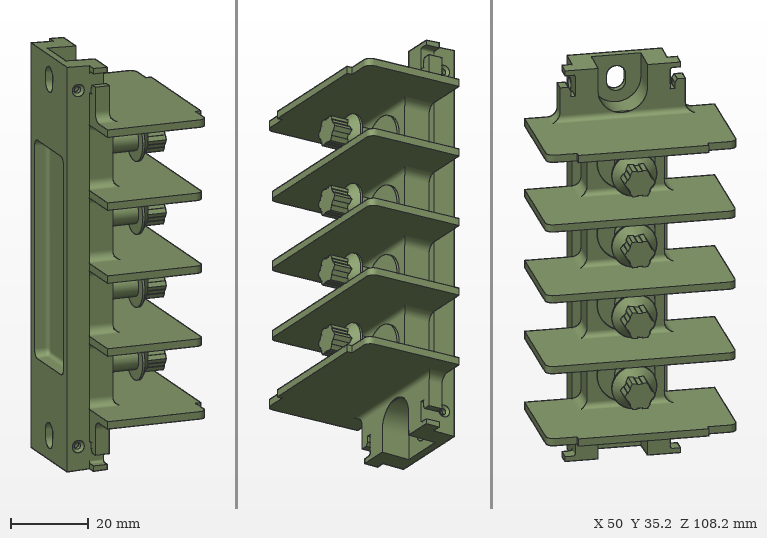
import cadquery as cq
import math

bar_width = 25.0
bar_depth = 6.2
bar_length = 108.2
end_draft = 2.0

plate_count = 5
plate_pitch = 19.5
plate_thickness = 2.0
plate_width = 50.0
plate_corner_radius = 2.0
inner_plate_back = 32.8
end_plate_shoulder = 33.7
end_plate_back = 35.2
end_plate_nose_width = 34.4
end_plate_z = plate_pitch * (plate_count - 1) / 2
end_plate_outer_z = end_plate_z + plate_thickness / 2

body_side_fillet = 2.3
body_width = bar_width - 2 * body_side_fillet
body_back = 13.6
back_fillet = 1.5

pad_diameter = 15.2
pad_back = 14.3
shank_diameter = 6.2
flange_diameter = 11.8
flange_front = 23.6
flange_rim = 0.6
head_across_flats = 7.0
head_front = 26.1
head_back = 30.9
head_sides = 6
head_groove_depth = 0.2

block_back = 10.1
hook_width = 33.0
hook_side_fillet = 2.5
hook_top_z = 49.2
hook_gap_width = 27.4
hook_gap_floor_z = 46.6
hook_tip_width = 28.7
hook_bevel_height = 1.0
tab_width = 30.4
tab_thickness = 1.7
tab_root_fillet = 0.65

mount_z = 47.6
slot_width = 5.0
slot_length = 6.8
channel_width = 13.0
channel_floor = 2.1
side_hole_diameter = 3.3
side_hole_bore_diameter = 1.7
side_hole_cone_depth = 0.6
side_hole_depth = 2.0
side_hole_y = 3.1

pocket_width = 20.0
pocket_length = 58.4
pocket_depth = 3.9
pocket_corner_radius = 2.0
pocket_draft = 4.0
pocket_floor_fillet = 1.1

reach = 0.1


def block(width, front, back, bottom, top):
    """Box centred on X = 0 that spans front..back in Y and bottom..top in Z."""
    size = (width, back - front, top - bottom)
    middle = (0, (front + back) / 2, (bottom + top) / 2)
    return cq.Workplane("XY").box(*size).translate(middle)


def both_ends(shape):
    """The shape at the +Z end joined with its mirror image at the -Z end."""
    return shape.union(shape.mirror("XY"))


def plate_blank(back, z):
    """Plate centred on the given Z, with its two rear corners rounded."""
    blank = block(plate_width, bar_depth, back, z - plate_thickness / 2, z + plate_thickness / 2)
    return blank.edges("|Z and >Y").fillet(plate_corner_radius)


def make_plates():
    inner_count = plate_count - 2
    plates = block(end_plate_nose_width, bar_depth, end_plate_back,
                   end_plate_z - plate_thickness / 2, end_plate_outer_z)
    plates = both_ends(plates.union(plate_blank(end_plate_shoulder, end_plate_z)))
    for index in range(inner_count):
        z = (index - (inner_count - 1) / 2) * plate_pitch
        plates = plates.union(plate_blank(inner_plate_back, z))
    return plates


def fillet_foot(solid, width, front, back, face_z, side_fillet):
    """Round the inside corners where a block of the given width stands on a plate face."""
    for side in (-1, 1):
        x = side * width / 2
        corner = cq.selectors.BoxSelector(
            (x - reach, front - reach, face_z - reach), (x + reach, back + reach, face_z + reach))
        solid = solid.edges("|Y").edges(corner).fillet(side_fillet)
    corner = cq.selectors.BoxSelector(
        (-width, back - reach, face_z - reach), (width, back + reach, face_z + reach))
    return solid.edges("|X").edges(corner).fillet(back_fillet)


def add_terminal_body(part):
    part = part.union(block(body_width, bar_depth, body_back, -end_plate_z, end_plate_z))
    for index in range(plate_count - 1):
        lower_face = index * plate_pitch - end_plate_z + plate_thickness / 2
        upper_face = lower_face + plate_pitch - plate_thickness
        for face_z in (lower_face, upper_face):
            part = fillet_foot(part, body_width, bar_depth, body_back, face_z, body_side_fillet)
    return part


def add_hook_blocks(part):
    hook_block = block(hook_width, bar_depth, block_back, end_plate_z, hook_top_z)
    part = part.union(both_ends(hook_block))
    for face_z in (-end_plate_outer_z, end_plate_outer_z):
        part = fillet_foot(part, hook_width, bar_depth, block_back, face_z, hook_side_fillet)
    gap = (
        cq.Workplane("XZ")
        .moveTo(-hook_gap_width / 2, hook_gap_floor_z)
        .lineTo(hook_gap_width / 2, hook_gap_floor_z)
        .lineTo(hook_gap_width / 2, hook_top_z - hook_bevel_height)
        .lineTo(hook_tip_width / 2, hook_top_z)
        .lineTo(-hook_tip_width / 2, hook_top_z)
        .lineTo(-hook_gap_width / 2, hook_top_z - hook_bevel_height)
        .close()
        .extrude(-block_back)
    )
    return part.cut(both_ends(gap))


def make_bar():
    half_length = bar_length / 2
    tab_underside_z = half_length - tab_thickness
    end_setback = block_back * math.tan(math.radians(end_draft))
    bar = block(bar_width, 0, bar_depth, -half_length, half_length)
    core = block(bar_width, bar_depth, block_back, end_plate_z, half_length)
    tabs = block(tab_width, bar_depth, block_back, tab_underside_z, half_length)
    tab_roots = cq.selectors.BoxSelector(
        (-bar_width / 2 - reach, 0, tab_underside_z - reach),
        (bar_width / 2 + reach, block_back, tab_underside_z + reach))
    tabbed_core = core.union(tabs).edges("|Y").edges(tab_roots).fillet(tab_root_fillet)
    bar = bar.union(both_ends(tabbed_core))
    sloped_end = (
        cq.Workplane("YZ")
        .moveTo(0, half_length)
        .lineTo(block_back, half_length - end_setback)
        .lineTo(block_back, half_length)
        .close()
        .extrude(plate_width / 2, both=True)
    )
    return bar.cut(both_ends(sloped_end))


def make_channel():
    """Round-bottomed channel, open at the end of the bar, around a mounting slot."""
    end_z = bar_length / 2
    channel = block(channel_width, channel_floor, block_back, mount_z, end_z)
    seat = (
        cq.Workplane("XZ", origin=(0, channel_floor, mount_z))
        .circle(channel_width / 2)
        .extrude(channel_floor - block_back)
    )
    return channel.union(seat)


def make_slot():
    return (
        cq.Workplane("XZ", origin=(0, 0, mount_z))
        .slot2D(slot_length, slot_width, 90)
        .extrude(-bar_depth)
    )


def make_side_holes():
    """Blind countersunk holes on both sides of the bar."""
    mouth = cq.Vector(-bar_width / 2, side_hole_y, mount_z)
    inward = cq.Vector(1, 0, 0)
    cone = cq.Solid.makeCone(
        side_hole_diameter / 2, side_hole_bore_diameter / 2, side_hole_cone_depth, mouth, inward)
    bore = cq.Solid.makeCylinder(side_hole_bore_diameter / 2, side_hole_depth, mouth, inward)
    left = cq.Workplane(cone).union(cq.Workplane(bore))
    return left.union(left.mirror("YZ"))


def make_pocket():
    return (
        cq.Workplane("XZ")
        .sketch()
        .rect(pocket_width, pocket_length)
        .vertices()
        .fillet(pocket_corner_radius)
        .finalize()
        .extrude(-pocket_depth, taper=pocket_draft)
        .faces(">Y")
        .edges()
        .fillet(pocket_floor_fillet)
    )


def make_screw_head(z):
    """Hexagonal head with a shallow groove along the middle third of each flat."""
    corner_diameter = head_across_flats / math.cos(math.pi / head_sides)
    flat_width = corner_diameter / 2
    head_length = head_back - flange_front
    profile = cq.Workplane("XZ", origin=(0, flange_front, z))
    head = profile.polygon(head_sides, corner_diameter).extrude(-head_length)
    grooves = (
        profile
        .polarArray(head_across_flats / 2, 180 / head_sides, 360, head_sides)
        .rect(2 * head_groove_depth, flat_width / 3)
        .extrude(-head_length)
    )
    return head.cut(grooves)


def make_screw(z):
    """Flanged screw standing on a round terminal pad."""
    rim_back = flange_front + flange_rim
    cone_slope = 2 * (head_front - rim_back) / (flange_diameter - head_across_flats)
    cone_tip_radius = head_across_flats / 2 - head_groove_depth
    cone_back = rim_back + cone_slope * (flange_diameter / 2 - cone_tip_radius)
    shaft = (
        cq.Workplane("XY", origin=(0, 0, z))
        .moveTo(0, bar_depth)
        .lineTo(pad_diameter / 2, bar_depth)
        .lineTo(pad_diameter / 2, pad_back)
        .lineTo(shank_diameter / 2, pad_back)
        .lineTo(shank_diameter / 2, flange_front)
        .lineTo(flange_diameter / 2, flange_front)
        .lineTo(flange_diameter / 2, rim_back)
        .lineTo(cone_tip_radius, cone_back)
        .lineTo(0, cone_back)
        .close()
        .revolve(360, (0, 0, 0), (0, 1, 0))
    )
    return shaft.union(make_screw_head(z))


result = add_hook_blocks(add_terminal_body(make_plates()))
result = result.union(make_bar())
result = result.cut(both_ends(make_channel().union(make_slot()).union(make_side_holes())))
result = result.cut(make_pocket())
for index in range(plate_count - 1):
    result = result.union(make_screw((index + 0.5) * plate_pitch - end_plate_z))